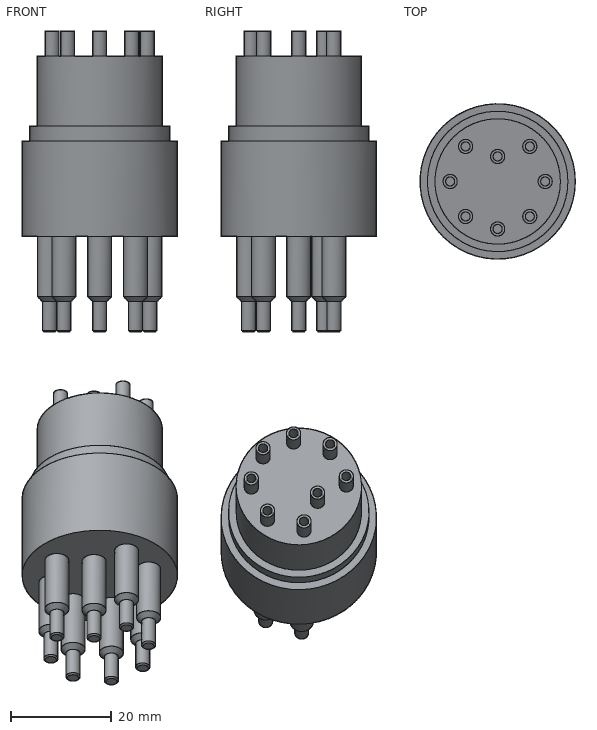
import cadquery as cq
import math

base_diameter = 31.0
base_height = 19.0
ring_diameter = 28.0
ring_height = 3.0
neck_diameter = 25.0
neck_height = 14.0

contact_diameter = 2.8
contact_length = 5.0
contact_bore_diameter = 1.8
contact_circle_radius = 9.5
contact_angle = 47.5

pin_diameter = 4.8
pin_tip_diameter = 2.8
pin_length = 19.0
pin_shank_length = 12.0
pin_tip_chamfer = 0.3
pin_circle_radius = 10.0
pin_angle = 44.5

key_offset = 5.0

body_height = base_height + ring_height + neck_height


def positions(circle_radius, diagonal_angle):
    """Seven points on the circle plus the inset key point."""
    diagonal_x = circle_radius * math.cos(math.radians(diagonal_angle))
    diagonal_y = circle_radius * math.sin(math.radians(diagonal_angle))
    diagonals = [(sx * diagonal_x, sy * diagonal_y) for sx in (-1, 1) for sy in (-1, 1)]
    on_axes = [(-circle_radius, 0), (circle_radius, 0), (0, -circle_radius)]
    return diagonals + on_axes + [(0, key_offset)]


def make_body():
    return (
        cq.Workplane("XY")
        .circle(base_diameter / 2)
        .extrude(base_height)
        .faces(">Z")
        .workplane()
        .circle(ring_diameter / 2)
        .extrude(ring_height)
        .faces(">Z")
        .workplane()
        .circle(neck_diameter / 2)
        .extrude(neck_height)
    )


def make_contacts():
    return (
        cq.Workplane("XY", origin=(0, 0, body_height))
        .pushPoints(positions(contact_circle_radius, contact_angle))
        .circle(contact_diameter / 2)
        .circle(contact_bore_diameter / 2)
        .extrude(contact_length)
    )


def make_pin():
    """Pin on the Z axis: shank, 45 degree shoulder and chamfered tip."""
    shank_radius = pin_diameter / 2
    tip_radius = pin_tip_diameter / 2
    shoulder_end = pin_shank_length + shank_radius - tip_radius
    profile = [
        (0, 0),
        (shank_radius, 0),
        (shank_radius, -pin_shank_length),
        (tip_radius, -shoulder_end),
        (tip_radius, -(pin_length - pin_tip_chamfer)),
        (tip_radius - pin_tip_chamfer, -pin_length),
        (0, -pin_length),
    ]
    return cq.Workplane("XZ").polyline(profile).close().revolve(360, (0, 0, 0), (0, 1, 0))


result = make_body().union(make_contacts())
pin = make_pin()
for x, y in positions(pin_circle_radius, pin_angle):
    result = result.union(pin.translate((x, y, 0)))